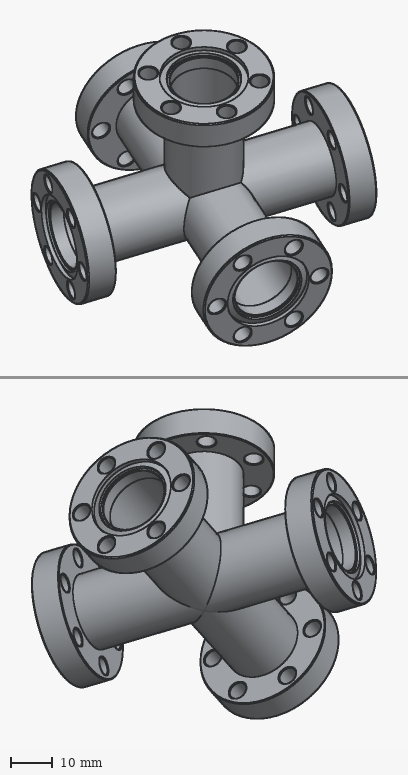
import cadquery as cq
import math

ARM_REACH = 38.1
TUBE_DIAMETER = 19.05
BORE_DIAMETER = 16.45

FLANGE_DIAMETER = 34.0
FLANGE_THICKNESS = 7.5
FRONT_CHAMFER = 0.3
BACK_CHAMFER = 0.2
HOLE_CHAMFER = 0.2
BORE_CHAMFER = 0.15
BOLT_COUNT = 6
BOLT_CIRCLE_DIAMETER = 27.0
BOLT_HOLE_DIAMETER = 4.4
SOCKET_FLOOR_DEPTH = 4.7

GASKET_DIAMETER = 21.4
GASKET_WALL_DEPTH = 1.15
KNIFE_DIAMETER = 18.05
KNIFE_FLOOR_DIAMETER = 17.75
KNIFE_SLOPE = 20.0
KNIFE_FLOOR_DEPTH = 1.15

CENTRE = cq.Vector(0, 0, 0)

ARMS = [
    (cq.Vector(1, 0, 0), cq.Vector(0, 1, 0)),
    (cq.Vector(-1, 0, 0), cq.Vector(0, 1, 0)),
    (cq.Vector(0, 1, 0), cq.Vector(1, 0, 0)),
    (cq.Vector(0, -1, 0), cq.Vector(1, 0, 0)),
    (cq.Vector(0, 0, 1), cq.Vector(1, 0, 0)),
]


def arm_cylinders(diameter, length):
    """Union of one cylinder per arm, all starting at the centre."""
    cylinders = cq.Workplane("XY")
    for direction, _ in ARMS:
        cylinders = cylinders.add(cq.Solid.makeCylinder(diameter / 2, length, CENTRE, direction))
    return cylinders.combine()


def make_tube_cross():
    """Five-way tube whose ends stand in the flange sockets."""
    tube_length = ARM_REACH - SOCKET_FLOOR_DEPTH
    return arm_cylinders(TUBE_DIAMETER, tube_length).cut(arm_cylinders(BORE_DIAMETER, tube_length))


def knife_edge_recess():
    """Recess and bevelled bore mouth revolved about Z, with the sealing face at Z = 0."""
    gasket_radius = GASKET_DIAMETER / 2
    knife_radius = KNIFE_DIAMETER / 2
    mouth_radius = BORE_DIAMETER / 2 + BORE_CHAMFER
    knife_rise = (gasket_radius - knife_radius) * math.tan(math.radians(KNIFE_SLOPE))
    return (
        cq.Workplane("XZ")
        .moveTo(0, 0)
        .lineTo(gasket_radius, 0)
        .lineTo(gasket_radius, -GASKET_WALL_DEPTH)
        .lineTo(knife_radius, knife_rise - GASKET_WALL_DEPTH)
        .lineTo(KNIFE_FLOOR_DIAMETER / 2, -KNIFE_FLOOR_DEPTH)
        .lineTo(mouth_radius, -KNIFE_FLOOR_DEPTH)
        .lineTo(BORE_DIAMETER / 2, -KNIFE_FLOOR_DEPTH - BORE_CHAMFER)
        .lineTo(0, -KNIFE_FLOOR_DEPTH - BORE_CHAMFER)
        .close()
        .revolve(360, (0, 0), (0, 1))
    )


def bolt_hole_tools():
    """Ring of bolt holes through the flange, bevelled at both ends."""
    hole_radius = BOLT_HOLE_DIAMETER / 2
    mouth_radius = hole_radius + HOLE_CHAMFER
    ring_radius = BOLT_CIRCLE_DIAMETER / 2
    one_hole = (
        cq.Workplane("XZ", origin=(ring_radius, 0, 0))
        .lineTo(mouth_radius, 0)
        .lineTo(hole_radius, -HOLE_CHAMFER)
        .lineTo(hole_radius, HOLE_CHAMFER - FLANGE_THICKNESS)
        .lineTo(mouth_radius, -FLANGE_THICKNESS)
        .lineTo(0, -FLANGE_THICKNESS)
        .close()
        .revolve(360, (0, 0), (0, 1))
    )
    holes = cq.Workplane("XY")
    for index in range(BOLT_COUNT):
        holes = holes.add(one_hole.rotate((0, 0, 0), (0, 0, 1), index * 360 / BOLT_COUNT))
    return holes.combine()


def make_flange(direction, bolt_direction):
    """Knife-edge flange, built facing +Z and then placed at the end of its arm."""
    blank = (
        cq.Workplane("XY")
        .circle(FLANGE_DIAMETER / 2)
        .extrude(-FLANGE_THICKNESS)
        .edges(">Z")
        .chamfer(FRONT_CHAMFER)
        .edges("<Z")
        .chamfer(BACK_CHAMFER)
    )
    bore = cq.Workplane("XY").circle(BORE_DIAMETER / 2).extrude(-FLANGE_THICKNESS)
    socket = (
        cq.Workplane("XY", origin=(0, 0, -FLANGE_THICKNESS))
        .circle(TUBE_DIAMETER / 2)
        .extrude(FLANGE_THICKNESS - SOCKET_FLOOR_DEPTH)
    )
    flange = blank.cut(bore).cut(socket).cut(bolt_hole_tools()).cut(knife_edge_recess())
    arm_end = cq.Plane(direction * ARM_REACH, xDir=bolt_direction, normal=direction)
    return flange.solids().val().moved(cq.Location(arm_end))


tube_cross = make_tube_cross()
flanges = [make_flange(direction, bolt_direction) for direction, bolt_direction in ARMS]

result = cq.Compound.makeCompound([tube_cross.solids().val(), *flanges])